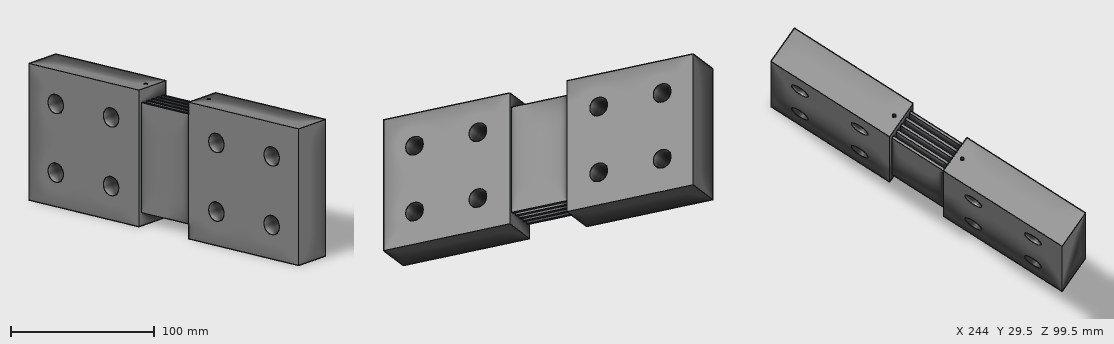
import cadquery as cq
import math

TOTAL_LENGTH = 244.0
BLOCK_SIDE = 99.5
BLOCK_THICKNESS = 29.5
GAP_LENGTH = TOTAL_LENGTH - 2 * BLOCK_SIDE
BLOCK_OFFSET = (GAP_LENGTH + BLOCK_SIDE) / 2

MOUNT_HOLE_DIAMETER = 14.0
MOUNT_HOLE_SPACING = 50.0
MOUNT_HOLE_INSET = 25.1

SMALL_HOLE_DIAMETER = 2.5
SMALL_HOLE_INSET = 6.0
SMALL_HOLE_DEPTH = 7.3
DRILL_TIP_ANGLE = 118.0

STRIP_COUNT = 5
STRIP_THICKNESS = 2.0
STRIP_HEIGHT = 80.0
STRIP_STACK_SPAN = 22.0
STRIP_PITCH = STRIP_STACK_SPAN / (STRIP_COUNT - 1)


def make_mount_holes(side):
    """Make the four cylinders that cut the mounting holes of one block."""
    pattern_x = side * (GAP_LENGTH / 2 + MOUNT_HOLE_INSET + MOUNT_HOLE_SPACING / 2)
    return (
        cq.Workplane("XZ")
        .center(pattern_x, 0)
        .rarray(MOUNT_HOLE_SPACING, MOUNT_HOLE_SPACING, 2, 2)
        .circle(MOUNT_HOLE_DIAMETER / 2)
        .extrude(BLOCK_THICKNESS, both=True)
    )


def make_small_hole(side):
    """Make the cutter for the small hole: a straight shaft that ends in a drill tip."""
    radius = SMALL_HOLE_DIAMETER / 2
    tip_height = radius / math.tan(math.radians(DRILL_TIP_ANGLE / 2))
    return (
        cq.Workplane("XZ")
        .lineTo(radius, 0)
        .lineTo(radius, -SMALL_HOLE_DEPTH)
        .lineTo(0, -SMALL_HOLE_DEPTH - tip_height)
        .close()
        .revolve(360, (0, 0, 0), (0, 1, 0))
        .translate((side * (GAP_LENGTH / 2 + SMALL_HOLE_INSET), 0, BLOCK_SIDE / 2))
    )


def make_block(side):
    """Make one drilled block; side is -1 for the -X end and +1 for the +X end."""
    block = cq.Workplane("XY").box(BLOCK_SIDE, BLOCK_THICKNESS, BLOCK_SIDE)
    block = block.translate((side * BLOCK_OFFSET, 0, 0))
    return block.cut(make_mount_holes(side)).cut(make_small_hole(side))


def make_strip(centre_y):
    """Make one strip that spans the gap and butts against both blocks."""
    return cq.Workplane("XY").box(GAP_LENGTH, STRIP_THICKNESS, STRIP_HEIGHT).translate((0, centre_y, 0))


blocks = [make_block(side) for side in (-1, 1)]
strips = [make_strip(index * STRIP_PITCH - STRIP_STACK_SPAN / 2) for index in range(STRIP_COUNT)]

result = cq.Compound.makeCompound([body.val() for body in blocks + strips])